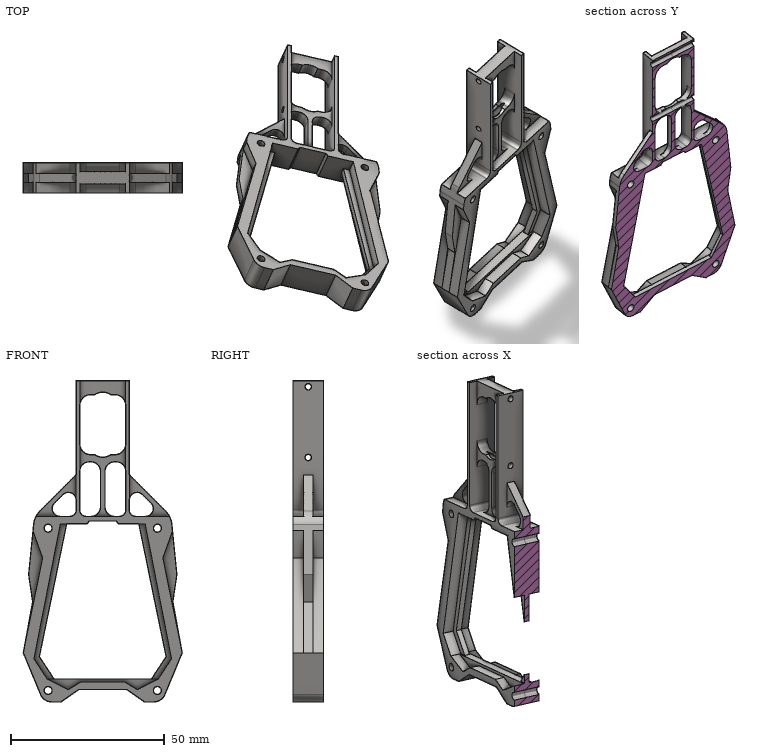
import cadquery as cq
HEIGHT = 105.0
FLANGE_DEPTH = 10.0
WEB_DEPTH = 2.99
RIM_DEPTH = 2.0
PANEL_DEPTH = 4.0

CHEEK_OUTER_X = 8.7
CHEEK_INNER_X = 7.5
SHELF_Z = 60.7
CHEEK_FILLET = 2.0

SLOT_TOP_Z = 78.4
RIB_HALF_WIDTH = 0.79
SLOT_RADIUS = 2.99
WINDOW_MID_Z = 90.6
WINDOW_HALF_HEIGHT = 9.8
WINDOW_RADIUS = 3.5
BUMP_HALF_HEIGHT = 10.6
BUMP_HALF_WIDTH = 2.6

GUSSET_TOP_Z = 74.2
SHOULDER = (22.4, 60.6)
SHOULDER_RADIUS = 7.0
HIP = (25.99, 16.1)
FOOT_CORNER = (19.3, 0)
FOOT_RADIUS = 4.0
FOOT_INNER_X = 13.6
SOLE_X = 7.8
SOLE_Z = 4.1
WING_TIP = (24.3, 41.7)
WING_LEAN = (WING_TIP[0] - SHOULDER[0]) / (SHOULDER[1] - WING_TIP[1])
WING_ROOT = (22.94, 32.8)
RECESS_TOP_Z = 56.0
RECESS_TOP = (SHOULDER[0] + WING_LEAN * (SHOULDER[1] - RECESS_TOP_Z), RECESS_TOP_Z)
RECESS_KNEE = (19.6, 47.0)

OPENING_TOP_Z = 58.2
NOTCH_TOP_Z = 59.1
NOTCH_TOP_X = 4.4
NOTCH_BOTTOM_X = 5.1
FLANGE_TOP_X = 13.9
FLANGE_HIP = (22.5, 14.2)
FLANGE_BOTTOM_X = 18.2
RIM_TOP_X = 11.8
RIM_HIP = (20.7, 14.8)
RIM_BOTTOM_X = 15.91
BAR_TOP_Z = 7.6
POCKET_TIP = (11.3, 4.1)
POCKET_STEP = (7.1, 6.6)

GUSSET_STRIP = 2.2
GUSSET_WINDOW_RADIUS = 2.5

FRAME_HOLE_X = 17.8
FRAME_HOLE_ZS = (3.8, 56.8)
FRAME_HOLE_DIAMETER = 2.5
CROSS_HOLE_ZS = (79.9, 103.0)
CROSS_HOLE_DIAMETER = 2.0


def slab(points, depth):
    """Closed XZ outline given a thickness centred on Y = 0."""
    return cq.Workplane("XZ").polyline(points).close().extrude(depth / 2, both=True)


def mirrored(half):
    """Right-half outline from top to bottom, completed by its mirror image."""
    return half + [(-x, z) for x, z in reversed(half)]


def block(x_min, x_max, z_min, z_max, depth):
    return slab([(x_min, z_min), (x_max, z_min), (x_max, z_max), (x_min, z_max)], depth)


def round_corners(body, corners, radius):
    """Fillet the Y-parallel edges that pass through the given XZ corners."""
    for x, z in corners:
        edge = cq.selectors.NearestToPointSelector((x, 0, z))
        body = body.edges("|Y").edges(edge).fillet(radius)
    return body


def both_sides(point):
    """The point and its mirror image across X = 0."""
    x, z = point
    return [(x, z), (-x, z)]


def frame_outline(side_points, depth):
    """Frame silhouette; side_points run from the shoulder down to the hip."""
    half = [(CHEEK_OUTER_X, GUSSET_TOP_Z), SHOULDER] + side_points
    half += [HIP, FOOT_CORNER, (FOOT_INNER_X, 0), (SOLE_X, SOLE_Z)]
    body = slab(mirrored(half), depth)
    body = round_corners(body, both_sides(SHOULDER), SHOULDER_RADIUS)
    return round_corners(body, both_sides(FOOT_CORNER), FOOT_RADIUS)


def frame_opening(top_x, lower_points):
    """Cutter for the notched frame opening; lower_points run down from the hip."""
    half = [(NOTCH_TOP_X, NOTCH_TOP_Z), (NOTCH_BOTTOM_X, OPENING_TOP_Z), (top_x, OPENING_TOP_Z)]
    return slab(mirrored(half + lower_points), 2 * FLANGE_DEPTH)


def flange_and_cheeks():
    """Full-depth frame with the two post cheeks blended into its top face."""
    body = frame_outline([RECESS_TOP, RECESS_KNEE], FLANGE_DEPTH)
    body = body.cut(block(-HEIGHT, HEIGHT, SHELF_Z, HEIGHT, FLANGE_DEPTH))
    lower = [FLANGE_HIP, (FLANGE_BOTTOM_X, BAR_TOP_Z), POCKET_TIP, POCKET_STEP]
    body = body.cut(frame_opening(FLANGE_TOP_X, lower))
    for x_min, x_max in ((CHEEK_INNER_X, CHEEK_OUTER_X), (-CHEEK_OUTER_X, -CHEEK_INNER_X)):
        body = body.union(block(x_min, x_max, SHELF_Z, HEIGHT, FLANGE_DEPTH))
    roots = both_sides((CHEEK_INNER_X, SHELF_Z)) + both_sides((CHEEK_OUTER_X, SHELF_Z))
    return round_corners(body, roots, CHEEK_FILLET)


def gusset_window(side):
    """Rounded triangle between cheek, shelf and sloping edge; side is 1 or -1."""
    slope = (GUSSET_TOP_Z - SHOULDER[1]) / (SHOULDER[0] - CHEEK_OUTER_X)
    top_z = GUSSET_TOP_Z - GUSSET_STRIP
    tip_x = CHEEK_OUTER_X + (top_z - SHELF_Z) / slope
    apex = (side * CHEEK_OUTER_X, top_z)
    tip = (side * tip_x, SHELF_Z)
    window = slab([(side * CHEEK_OUTER_X, SHELF_Z), apex, tip], WEB_DEPTH)
    return round_corners(window, [apex, tip], GUSSET_WINDOW_RADIUS)


def wing_web():
    """Middle layer: wings, gussets and the lower bar."""
    body = frame_outline([WING_TIP, WING_ROOT], WEB_DEPTH)
    body = body.cut(frame_opening(FLANGE_TOP_X, [FLANGE_HIP, (FLANGE_BOTTOM_X, BAR_TOP_Z)]))
    body = body.cut(block(-CHEEK_OUTER_X, CHEEK_OUTER_X, SHELF_Z, HEIGHT, WEB_DEPTH))
    return body.cut(gusset_window(1)).cut(gusset_window(-1))


def inner_rim():
    """Thin lip standing inward from the sides of the frame opening."""
    half = [(FLANGE_TOP_X, OPENING_TOP_Z), FLANGE_HIP, (FLANGE_BOTTOM_X, BAR_TOP_Z)]
    rim = slab(mirrored(half), RIM_DEPTH)
    return rim.cut(frame_opening(RIM_TOP_X, [RIM_HIP, (RIM_BOTTOM_X, BAR_TOP_Z)]))


def window_bump(direction):
    """Shallow arched relief at the top (1) or bottom (-1) of the post window."""
    edge_z = WINDOW_MID_Z + direction * WINDOW_HALF_HEIGHT
    crown_z = WINDOW_MID_Z + direction * BUMP_HALF_HEIGHT
    arch = cq.Workplane("XZ").moveTo(-BUMP_HALF_WIDTH, WINDOW_MID_Z).lineTo(-BUMP_HALF_WIDTH, edge_z)
    arch = arch.threePointArc((0, crown_z), (BUMP_HALF_WIDTH, edge_z))
    return arch.lineTo(BUMP_HALF_WIDTH, WINDOW_MID_Z).close().extrude(PANEL_DEPTH / 2, both=True)


def panel_slot(side):
    """Slot beside the centre rib, left square where it meets the cheek fillet; side is 1 or -1."""
    rib_x = side * RIB_HALF_WIDTH
    cheek_x = side * CHEEK_INNER_X
    rounded = [(rib_x, SHELF_Z), (rib_x, SLOT_TOP_Z), (cheek_x, SLOT_TOP_Z)]
    slot = slab(rounded + [(cheek_x, SHELF_Z)], PANEL_DEPTH)
    return round_corners(slot, rounded, SLOT_RADIUS)


def post_panel():
    """Panel between the cheeks with a tall window over two slots."""
    panel = block(-CHEEK_INNER_X, CHEEK_INNER_X, SHELF_Z, HEIGHT, PANEL_DEPTH)
    window = block(
        -CHEEK_INNER_X,
        CHEEK_INNER_X,
        WINDOW_MID_Z - WINDOW_HALF_HEIGHT,
        WINDOW_MID_Z + WINDOW_HALF_HEIGHT,
        PANEL_DEPTH,
    )
    panel = panel.cut(window.edges("|Y").fillet(WINDOW_RADIUS))
    panel = panel.cut(window_bump(1)).cut(window_bump(-1))
    return panel.cut(panel_slot(1)).cut(panel_slot(-1))


def frame_holes():
    places = [(side * FRAME_HOLE_X, z) for side in (1, -1) for z in FRAME_HOLE_ZS]
    holes = cq.Workplane("XZ").pushPoints(places).circle(FRAME_HOLE_DIAMETER / 2)
    return holes.extrude(FLANGE_DEPTH, both=True)


def cross_holes():
    """Pin holes running along X through both cheeks and the panel."""
    places = [(0, z) for z in CROSS_HOLE_ZS]
    holes = cq.Workplane("YZ").pushPoints(places).circle(CROSS_HOLE_DIAMETER / 2)
    return holes.extrude(2 * CHEEK_OUTER_X, both=True)


result = flange_and_cheeks().union(wing_web()).union(inner_rim()).union(post_panel())
result = result.cut(frame_holes()).cut(cross_holes())